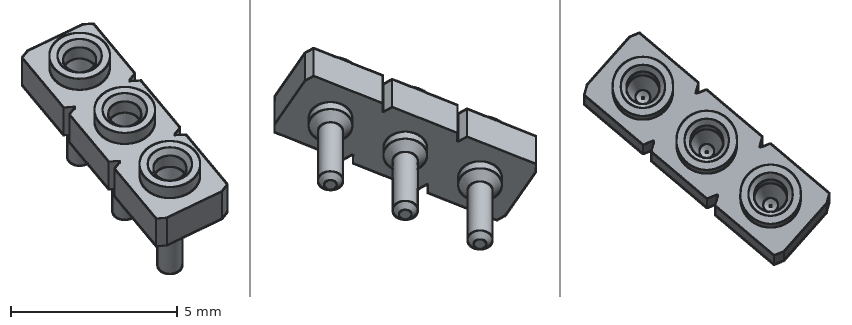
import cadquery as cq

pin_count = 3
housing_length = 7.85
housing_width = 2.54
pitch = housing_width

tip_height = 0.19
stem_top = 2.43
neck_bottom = 2.72
housing_bottom = 3.04
housing_top = 4.32
collar_top = 4.83

cut_length = 0.14
cut_depth = 0.29
notch_floor = 0.04

collar_diameter = 1.83
neck_diameter = 1.32
stem_diameter = 0.76
tip_diameter = stem_diameter - 2 * tip_height

mouth_diameter = 1.335
bore_diameter = 1.0
throat_diameter = 0.45
mouth_depth = 0.19
bore_depth = 0.71
throat_depth = 1.49
socket_depth = 1.61
socket_floor_diameter = 0.06

pin_positions = [(i - (pin_count - 1) / 2) * pitch for i in range(pin_count)]
notch_positions = [(x + next_x) / 2 for x, next_x in zip(pin_positions, pin_positions[1:])]


def corner_cut(x_side, y_side):
    """Triangular prism that bevels one vertical corner of the housing."""
    x = x_side * housing_length / 2
    y = y_side * housing_width / 2
    outline = [(x, y), (x - x_side * cut_length, y), (x, y - y_side * cut_depth)]
    return cq.Workplane("XY", origin=(0, 0, housing_bottom)).polyline(outline).close().extrude(
        housing_top - housing_bottom
    )


def notch_cut(x, y_side):
    """Flat-bottomed V groove running down one long side of the housing."""
    y = y_side * housing_width / 2
    floor_y = y - y_side * cut_depth
    half_floor = notch_floor / 2
    half_mouth = half_floor + cut_length
    outline = [
        (x - half_mouth, y),
        (x - half_floor, floor_y),
        (x + half_floor, floor_y),
        (x + half_mouth, y),
    ]
    return cq.Workplane("XY", origin=(0, 0, housing_bottom)).polyline(outline).close().extrude(
        housing_top - housing_bottom
    )


def make_housing():
    """Bar with bevelled corners, notched sides and a through hole for each pin neck."""
    body = cq.Workplane("XY", origin=(0, 0, housing_bottom)).box(
        housing_length, housing_width, housing_top - housing_bottom, centered=(True, True, False)
    )
    for y_side in (-1, 1):
        for x_side in (-1, 1):
            body = body.cut(corner_cut(x_side, y_side))
        for x in notch_positions:
            body = body.cut(notch_cut(x, y_side))
    pin_holes = (
        cq.Workplane("XY", origin=(0, 0, housing_bottom))
        .pushPoints([(x, 0) for x in pin_positions])
        .circle(neck_diameter / 2)
        .extrude(housing_top - housing_bottom)
    )
    return body.cut(pin_holes)


def make_pin(x):
    """Turned pin with a collar on the housing and a tapered blind socket."""
    half_section = [
        (0, 0),
        (tip_diameter / 2, 0),
        (stem_diameter / 2, tip_height),
        (stem_diameter / 2, stem_top),
        (neck_diameter / 2, neck_bottom),
        (neck_diameter / 2, housing_top),
        (collar_diameter / 2, housing_top),
        (collar_diameter / 2, collar_top),
        (mouth_diameter / 2, collar_top),
        (bore_diameter / 2, collar_top - mouth_depth),
        (bore_diameter / 2, collar_top - bore_depth),
        (throat_diameter / 2, collar_top - throat_depth),
        (socket_floor_diameter / 2, collar_top - socket_depth),
        (0, collar_top - socket_depth),
    ]
    pin = cq.Workplane("XZ").polyline(half_section).close().revolve(360, (0, 0, 0), (0, 1, 0))
    return pin.translate((x, 0, 0))


housing = make_housing()
pins = [make_pin(x) for x in pin_positions]

result = cq.Compound.makeCompound([housing.val(), *[pin.val() for pin in pins]])